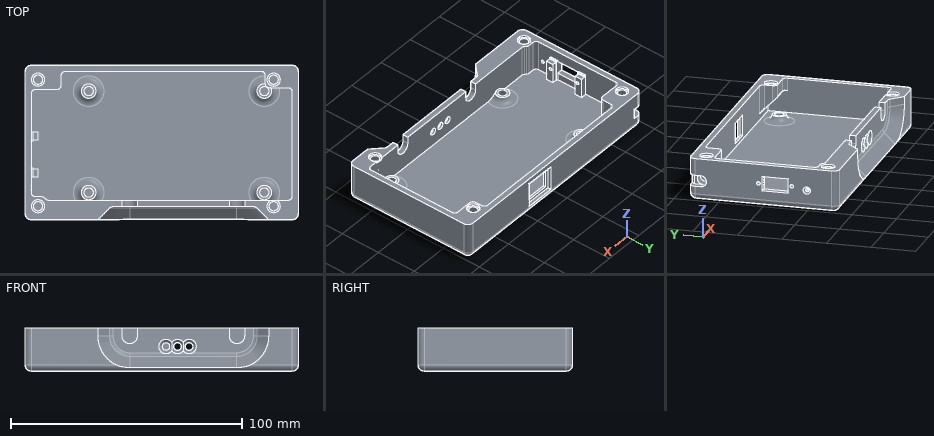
import cadquery as cq
import math

LENGTH = 118.24
DEPTH = 66.87
HEIGHT = 18.8
WALL = 2.75
FLOOR = 3.2
OVERCUT = 1.0
CAVITY_TOP = HEIGHT + OVERCUT
CAVITY_CORNER_RADIUS = 1.75

CAVITY_LEFT = WALL
CAVITY_RIGHT = LENGTH - WALL
CAVITY_BACK = DEPTH - WALL
CAVITY_FRONT = 8.45
REAR_LEFT_BLOCK_X = 15.6
REAR_LEFT_BLOCK_Y = 56.35
REAR_RIGHT_BLOCK_X = 103.85
REAR_RIGHT_BLOCK_Y = 57.1
FRONT_LEFT_STEP_Y = 10.0
FRONT_LEFT_STEP_X = 9.5
UNDERCUT_TOP = 13.2

SCREW_X = (5.65, 107.5)
SCREW_Y = (5.9, 60.6)
SCREW_DIAMETER = 4.0
SCREW_MOUTH_DIAMETER = 5.7
SCREW_MOUTH_DEPTH = 1.0
SCREW_DEPTH = 6.0

STANDOFF_X = (27.55, 103.45)
STANDOFF_Y = (11.8, 55.65)
STANDOFF_TOP_DIAMETER = 6.2
STANDOFF_FLARE = 3.5
STANDOFF_HEIGHT = 3.0
STANDOFF_HOLE_DIAMETER = 4.0
STANDOFF_HOLE_DEPTH = 4.5

RECESS_X = 68.45
RECESS_ARC_SPACING = 46.0
RECESS_ARC_Z = 15.3
RECESS_MOUTH_RADIUS = 13.95
RECESS_DEPTH = CAVITY_FRONT - WALL
RECESS_FILLET = 2.2

NOTCH_SPACING = 46.4
NOTCH_DIAMETER = 6.7
LED_X = 60.95
LED_PITCH = 5.0
LED_COUNT = 3
LED_Z = 10.7
LED_DIAMETER = 3.25
LED_MOUTH_DIAMETER = 6.2

WINDOW_Y = 28.2
WINDOW_Z = 10.15
WINDOW_WIDTH = 11.7
WINDOW_HEIGHT = 6.5
RIB_LENGTH = 2.9
RIB_OUTER_SPACING = 19.5
RIB_INNER_SPACING = 12.5
RIB_ROOT_LENGTH = 0.75
RIB_ROOT_RISE = 0.6
RIB_HOLE_SPACING = 15.0
RIB_HOLE_DIAMETER = 1.5
POWER_Y = 13.95
POWER_Z = 8.85
POWER_DIAMETER = 1.5
POWER_MOUTH_DIAMETER = 3.25

BACK_WINDOW_LEFT = 63.7
BACK_WINDOW_WIDTH = 11.5
BACK_WINDOW_BOTTOM = 5.0
BACK_WINDOW_HEIGHT = 9.2
BACK_WINDOW_WALL = 1.1

LANYARD_DIAMETER = 5.0
LANYARD_INSET = 5.3
LANYARD_Z = 8.7
LANYARD_HOLE_DEPTH = 7.8
LANYARD_NOTCH_DEPTH = 3.3
LANYARD_NOTCH_BEND = 1.6
LANYARD_NOTCH_REACH = 5.0


def box(x0, x1, y0, y1, z0, z1):
    """Box between two opposite corners."""
    return cq.Workplane("XY").box(x1 - x0, y1 - y0, z1 - z0, centered=False).translate((x0, y0, z0))


def countersunk_hole(hole_diameter, mouth_diameter):
    """Cutter along +Y through one wall, its 45 degree mouth widest at Y = 0."""
    hole = hole_diameter / 2
    mouth = mouth_diameter / 2
    end = WALL + OVERCUT
    profile = [(0, -OVERCUT), (mouth, -OVERCUT), (mouth, 0), (hole, mouth - hole), (hole, end), (0, end)]
    return cq.Workplane("XY").polyline(profile).close().revolve(360, (0, 0), (0, 1))


def outer_block():
    block = cq.Workplane("XY").box(LENGTH, DEPTH, HEIGHT, centered=False)
    return block.edges("|Z").fillet(WALL).faces("<Z").edges().fillet(WALL)


def cavity():
    step_run = FRONT_LEFT_STEP_Y - CAVITY_FRONT
    outline = [
        (CAVITY_LEFT, FRONT_LEFT_STEP_Y),
        (FRONT_LEFT_STEP_X - step_run, FRONT_LEFT_STEP_Y),
        (FRONT_LEFT_STEP_X, CAVITY_FRONT),
        (CAVITY_RIGHT, CAVITY_FRONT),
        (CAVITY_RIGHT, REAR_RIGHT_BLOCK_Y),
        (REAR_RIGHT_BLOCK_X, REAR_RIGHT_BLOCK_Y),
        (REAR_RIGHT_BLOCK_X, CAVITY_BACK),
        (REAR_LEFT_BLOCK_X, CAVITY_BACK),
        (REAR_LEFT_BLOCK_X, REAR_LEFT_BLOCK_Y),
        (CAVITY_LEFT, REAR_LEFT_BLOCK_Y),
    ]
    space = cq.Workplane("XY").workplane(offset=FLOOR).polyline(outline).close().extrude(CAVITY_TOP - FLOOR)
    return space.edges("|Z").fillet(CAVITY_CORNER_RADIUS)


def block_undercut():
    """Space under the rear right block, roofed by a 45 degree slope down to the back wall."""
    front = REAR_RIGHT_BLOCK_Y - CAVITY_CORNER_RADIUS
    start = REAR_RIGHT_BLOCK_X - CAVITY_CORNER_RADIUS
    profile = [
        (front, FLOOR),
        (CAVITY_BACK, FLOOR),
        (CAVITY_BACK, UNDERCUT_TOP - (CAVITY_BACK - REAR_RIGHT_BLOCK_Y)),
        (REAR_RIGHT_BLOCK_Y, UNDERCUT_TOP),
        (front, UNDERCUT_TOP),
    ]
    prism = cq.Workplane("YZ").workplane(offset=start).polyline(profile).close()
    return prism.extrude(CAVITY_RIGHT - start)


def flare_radius(height):
    """Radius of the standoff's concave flare at a height above the floor."""
    rise = STANDOFF_FLARE - height
    base_radius = STANDOFF_TOP_DIAMETER / 2 + STANDOFF_FLARE
    return base_radius - math.sqrt(STANDOFF_FLARE**2 - rise**2)


def standoff(x, y):
    """Post whose side is one concave flare, rooted slightly below the floor surface."""
    base_radius = flare_radius(0)
    top_radius = flare_radius(STANDOFF_HEIGHT)
    middle = STANDOFF_HEIGHT / 2
    top = FLOOR + STANDOFF_HEIGHT
    root = FLOOR - OVERCUT
    profile = (
        cq.Workplane("XZ")
        .moveTo(0, root)
        .lineTo(base_radius, root)
        .lineTo(base_radius, FLOOR)
        .threePointArc((flare_radius(middle), FLOOR + middle), (top_radius, top))
        .lineTo(0, top)
        .close()
    )
    return profile.revolve(360, (0, 0), (0, 1)).translate((x, y, 0))


def standoff_hole(x, y):
    """Blind hole down from the top of a standoff."""
    top = cq.Workplane("XY", origin=(x, y, FLOOR + STANDOFF_HEIGHT))
    return top.circle(STANDOFF_HOLE_DIAMETER / 2).extrude(-STANDOFF_HOLE_DEPTH)


def screw_hole(x, y):
    """Blind lid screw hole with a shallow wider mouth at the rim."""
    rim = cq.Workplane("XY", origin=(x, y, HEIGHT))
    hole = rim.circle(SCREW_DIAMETER / 2).extrude(-SCREW_DEPTH)
    return hole.union(rim.circle(SCREW_MOUTH_DIAMETER / 2).extrude(-SCREW_MOUTH_DEPTH))


def recess_outline(plane_y, radius):
    """U-shaped recess section, open at the rim, on a plane parallel to the front face."""
    half = RECESS_ARC_SPACING / 2
    bend = radius * math.sqrt(0.5)
    return (
        cq.Workplane("XZ", origin=(RECESS_X, plane_y, RECESS_ARC_Z))
        .moveTo(-half - radius, CAVITY_TOP - RECESS_ARC_Z)
        .lineTo(-half - radius, 0)
        .threePointArc((-half - bend, -bend), (-half, -radius))
        .lineTo(half, -radius)
        .threePointArc((half + bend, -bend), (half + radius, 0))
        .lineTo(half + radius, CAVITY_TOP - RECESS_ARC_Z)
        .close()
    )


def cable_recess():
    """Recess whose sides slope in at 45 degrees and blend into its flat back."""
    cutter = recess_outline(RECESS_DEPTH, RECESS_MOUTH_RADIUS - RECESS_DEPTH).extrude(RECESS_DEPTH, taper=-45)
    return cutter.faces(">Y").edges("not(>Z)").fillet(RECESS_FILLET)


def cable_notch(x):
    """U-shaped notch through the thin front wall, open at the rim."""
    radius = NOTCH_DIAMETER / 2
    front = RECESS_DEPTH - OVERCUT
    back = CAVITY_FRONT + OVERCUT
    round_end = cq.Workplane("XZ", origin=(x, back, RECESS_ARC_Z)).circle(radius).extrude(back - front)
    return round_end.union(box(x - radius, x + radius, front, back, RECESS_ARC_Z, CAVITY_TOP))


def led_hole(x):
    """Indicator hole through the thin front wall, countersunk from the front."""
    return countersunk_hole(LED_DIAMETER, LED_MOUTH_DIAMETER).translate((x, RECESS_DEPTH, LED_Z))


def power_hole():
    """Indicator hole through the left wall, countersunk from outside."""
    cutter = countersunk_hole(POWER_DIAMETER, POWER_MOUTH_DIAMETER)
    return cutter.rotate((0, 0, 0), (0, 0, 1), -90).translate((0, POWER_Y, POWER_Z))


def connector_ribs():
    """Two ribs beside the connector window, each on a taller root that reaches the window."""
    top = WINDOW_Z + WINDOW_HEIGHT / 2
    outer = RIB_OUTER_SPACING / 2
    inner = RIB_INNER_SPACING / 2
    root_inner = WINDOW_WIDTH / 2
    root_end = CAVITY_LEFT + RIB_ROOT_LENGTH
    rib = box(CAVITY_LEFT, CAVITY_LEFT + RIB_LENGTH, inner, outer, FLOOR, top)
    rib = rib.union(box(CAVITY_LEFT, root_end, root_inner, outer, FLOOR, top + RIB_ROOT_RISE))
    return rib.union(rib.mirror("XZ")).translate((0, WINDOW_Y, 0))


def connector_window():
    half_width = WINDOW_WIDTH / 2
    half_height = WINDOW_HEIGHT / 2
    return box(
        -OVERCUT, WALL + OVERCUT,
        WINDOW_Y - half_width, WINDOW_Y + half_width,
        WINDOW_Z - half_height, WINDOW_Z + half_height,
    )


def rib_hole(y):
    """Screw hole through the left wall and the full length of a rib."""
    start = cq.Workplane("YZ", origin=(0, y, WINDOW_Z))
    return start.circle(RIB_HOLE_DIAMETER / 2).extrude(WALL + RIB_LENGTH)


def back_window():
    """Window in the back wall, set in a recess on the outer face."""
    right = BACK_WINDOW_LEFT + BACK_WINDOW_WIDTH
    bottom = BACK_WINDOW_BOTTOM
    top = bottom + BACK_WINDOW_HEIGHT
    margin = WALL - BACK_WINDOW_WALL
    recess_floor = CAVITY_BACK + BACK_WINDOW_WALL
    window = box(BACK_WINDOW_LEFT, right, CAVITY_BACK - OVERCUT, DEPTH, bottom, top)
    recess = box(
        BACK_WINDOW_LEFT - margin, right + margin,
        recess_floor, DEPTH,
        bottom - margin, top + margin,
    )
    return window.union(recess)


def lanyard_opening():
    """Corner notch of the hole's height, with a blind round hole along X behind it."""
    radius = LANYARD_DIAMETER / 2
    hole_y = DEPTH - LANYARD_INSET
    outline = [
        (0, DEPTH),
        (LANYARD_NOTCH_REACH, DEPTH),
        (LANYARD_NOTCH_DEPTH, DEPTH - LANYARD_NOTCH_BEND),
        (LANYARD_NOTCH_DEPTH, hole_y),
        (0, hole_y),
    ]
    notch_floor = cq.Workplane("XY", origin=(0, 0, LANYARD_Z - radius))
    notch = notch_floor.polyline(outline).close().extrude(LANYARD_DIAMETER)
    hole = cq.Workplane("YZ", origin=(0, hole_y, LANYARD_Z)).circle(radius).extrude(LANYARD_HOLE_DEPTH)
    return notch.union(hole)


body = outer_block().cut(cavity()).cut(block_undercut())
for standoff_x in STANDOFF_X:
    for standoff_y in STANDOFF_Y:
        body = body.union(standoff(standoff_x, standoff_y))
        body = body.cut(standoff_hole(standoff_x, standoff_y))
body = body.union(connector_ribs())

body = body.cut(cable_recess())
for side in (-1, 1):
    body = body.cut(cable_notch(RECESS_X + side * NOTCH_SPACING / 2))
for index in range(LED_COUNT):
    body = body.cut(led_hole(LED_X + index * LED_PITCH))

for screw_x in SCREW_X:
    for screw_y in SCREW_Y:
        body = body.cut(screw_hole(screw_x, screw_y))

body = body.cut(connector_window()).cut(power_hole())
for side in (-1, 1):
    body = body.cut(rib_hole(WINDOW_Y + side * RIB_HOLE_SPACING / 2))
body = body.cut(back_window()).cut(lanyard_opening())

result = body